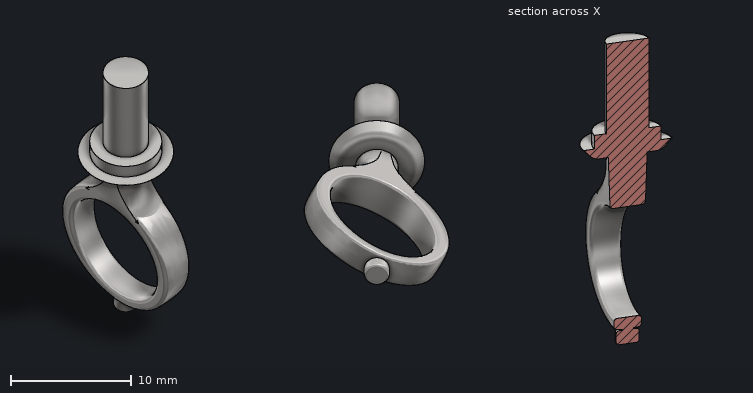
import cadquery as cq
import math

total_height = 27.03

stud_radius = 1.05
stud_height = 1.3
stud_fillet = 0.3
stem_radius = 1.0 / 2

ring_radius = 6.203
ring_bottom = 1.32
ring_center_z = ring_bottom + ring_radius
ring_crown = 0.08
bore_radius = 9.8 / 2
bore_center_z = 7.33
ring_fillet = 0.32
blank_half_width = 2.7

side_half_width_bottom = 1.2
side_half_width_top = 1.75

neck_top_radius = 1.78
neck_bend_radius = 1.97
neck_bend_z = 14.73
flare_radius = 2.5
flare_z = 13.68
neck_foot_radius = 3.43
neck_foot_z = 12.65
neck_foot_direction = (-1.0, 1.0)
neck_top_direction = (-0.08, 1.0)

flange_bottom_z = 16.85
flange_top_z = 17.8
flange_radius = 8.0 / 2
flange_fillet = 1.15
collar_radius = 6.0 / 2
collar_top_z = 19.03
pin_radius = 3.8 / 2


def cylinder(radius, bottom, top):
    return cq.Workplane("XY").workplane(offset=bottom).circle(radius).extrude(top - bottom)


def tapered_slab():
    """Wedge whose two slanting faces are the flat sides of the ring and neck."""
    return (
        cq.Workplane("YZ")
        .moveTo(-side_half_width_bottom, 0)
        .lineTo(side_half_width_bottom, 0)
        .lineTo(side_half_width_top, flange_bottom_z)
        .lineTo(-side_half_width_top, flange_bottom_z)
        .close()
        .extrude(ring_radius + 0.27, both=True)
    )


def ring_blank():
    """Solid disc about a Y axis, crowned on its rim and rounded at its edges."""
    side_rise = ring_center_z / flange_bottom_z
    side_half_width = side_half_width_bottom + side_rise * (side_half_width_top - side_half_width_bottom)
    crown_radius = (side_half_width**2 + ring_crown**2) / (2 * ring_crown)
    edge_drop = crown_radius - math.sqrt(crown_radius**2 - blank_half_width**2)
    edge_radius = ring_radius - edge_drop
    disc = (
        cq.Workplane("XY")
        .moveTo(0, -blank_half_width)
        .lineTo(edge_radius, -blank_half_width)
        .threePointArc((ring_radius, 0), (edge_radius, blank_half_width))
        .lineTo(0, blank_half_width)
        .close()
        .revolve(360, (0, 0), (0, 1))
        .translate((0, 0, ring_center_z))
    )
    disc = disc.intersect(tapered_slab())
    return disc.faces("<Y or >Y").edges().fillet(ring_fillet)


def neck():
    """Round neck that flares smoothly into the ring, trimmed flush with the flat sides."""
    flank = [
        (flare_radius, flare_z),
        (neck_bend_radius, neck_bend_z),
        (neck_top_radius, flange_bottom_z),
    ]
    horn = (
        cq.Workplane("XZ")
        .moveTo(0, neck_foot_z)
        .lineTo(neck_foot_radius, neck_foot_z)
        .spline(flank, tangents=[neck_foot_direction, neck_top_direction], includeCurrent=True)
        .lineTo(0, flange_bottom_z)
        .close()
        .revolve(360, (0, 0), (0, 1))
    )
    return horn.intersect(tapered_slab())


def bored_body():
    """Ring and neck in one, with the bore and its rounded edges."""
    body = ring_blank().union(neck())
    bore = (
        cq.Workplane("XZ", origin=(0, blank_half_width, bore_center_z))
        .circle(bore_radius)
        .extrude(2 * blank_half_width)
    )
    reach = bore_radius + 0.03
    bore_edges = cq.selectors.BoxSelector(
        (-reach, -blank_half_width, bore_center_z - reach),
        (reach, blank_half_width, bore_center_z + reach),
        boundingbox=True,
    )
    return body.cut(bore).edges(bore_edges).fillet(ring_fillet)


def flange():
    """45-degree dish, sharp at the rim and rounded into its flat underside."""
    bottom_radius = flange_radius - (flange_top_z - flange_bottom_z)
    dish = (
        cq.Workplane("XZ")
        .moveTo(0, flange_bottom_z)
        .lineTo(bottom_radius, flange_bottom_z)
        .lineTo(flange_radius, flange_top_z)
        .lineTo(0, flange_top_z)
        .close()
        .revolve(360, (0, 0), (0, 1))
    )
    return dish.faces("<Z").edges().fillet(flange_fillet)


def stud():
    """Rounded button on a short stem that runs into the ring."""
    button = cylinder(stud_radius, 0, stud_height).faces("<Z or >Z").edges().fillet(stud_fillet)
    stem_top = (ring_bottom + bore_center_z - bore_radius) / 2
    return button.union(cylinder(stem_radius, stud_height / 2, stem_top))


collar = cylinder(collar_radius, flange_top_z, collar_top_z)
pin = cylinder(pin_radius, collar_top_z, total_height)
result = bored_body().union(flange()).union(collar).union(pin).union(stud())